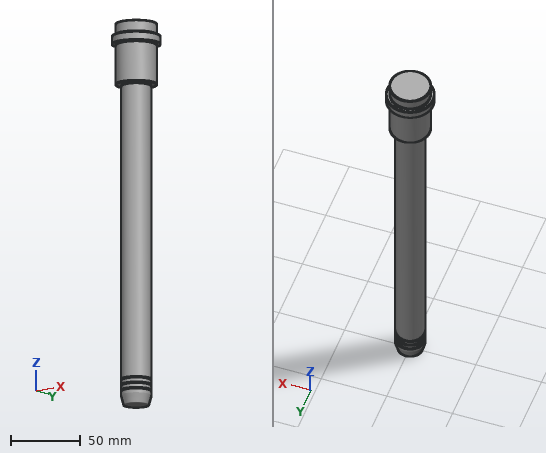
import cadquery as cq
import math

total_length = 280.0

edge_break = 0.5

groove_count = 3
groove_depth = 0.5
groove_width = 2 * groove_depth
groove_root_diameter = 21.0
grooved_end_length = 19.0

shaft_diameter = groove_root_diameter + 2 * groove_depth
flange_diameter = 35.0
flange_overhang = 2.5
sleeve_diameter = flange_diameter - 2 * flange_overhang

sleeve_length = 44.8
flange_setback = 9.0
flange_thickness = 6.0
sleeve_bottom = total_length - sleeve_length
flange_top = total_length - flange_setback
flange_bottom = flange_top - flange_thickness

relief_width = 1.0
relief_depth = 0.3

tip_length = 7.0
tip_angle = 15.0
tip_rim_radius = 0.5

land_width = (grooved_end_length - tip_length - groove_count * groove_width) / groove_count
groove_pitch = land_width + groove_width
first_groove_bottom = tip_length + land_width


def cylinder(diameter, bottom, height):
    """Solid cylinder on the Z axis, starting at the given height."""
    return cq.Workplane("XY").workplane(offset=bottom).circle(diameter / 2).extrude(height)


def revolved(points):
    """Solid made by turning a closed (radius, height) outline around the Z axis."""
    return cq.Workplane("XZ").polyline(points).close().revolve(360, (0, 0, 0), (0, 1, 0))


def v_groove(bottom):
    """Triangular ring that cuts one groove into the shaft."""
    surface = shaft_diameter / 2
    middle = bottom + groove_width / 2
    reach = groove_width
    return revolved(
        [
            (surface - groove_depth, middle),
            (surface - groove_depth + reach, middle + reach),
            (surface - groove_depth + reach, middle - reach),
        ]
    )


def relief(diameter, bottom):
    """Square-sided ring that cuts a shallow relief into a cylinder."""
    outer = cylinder(diameter + 2 * relief_depth, bottom, relief_width)
    core = cylinder(diameter - 2 * relief_depth, bottom, relief_width)
    return outer.cut(core)


def make_tip():
    """Cone that narrows towards the lower end, with a rounded rim."""
    top_radius = shaft_diameter / 2
    end_radius = top_radius - tip_length * math.tan(math.radians(tip_angle))
    cone = revolved([(0, 0), (end_radius, 0), (top_radius, tip_length), (0, tip_length)])
    return cone.faces("<Z").edges().fillet(tip_rim_radius)


def make_shaft():
    """Long shaft with V grooves near the tip and a relief under the sleeve."""
    shaft = cylinder(shaft_diameter, tip_length, total_length - tip_length)
    for index in range(groove_count):
        shaft = shaft.cut(v_groove(first_groove_bottom + index * groove_pitch))
    return shaft.cut(relief(shaft_diameter, sleeve_bottom - relief_width))


def make_sleeve():
    """Sleeve with broken end edges and a relief on both sides of the flange."""
    sleeve = cylinder(sleeve_diameter, sleeve_bottom, sleeve_length)
    sleeve = sleeve.faces("<Z or >Z").edges().chamfer(edge_break)
    for bottom in (flange_top, flange_bottom - relief_width):
        sleeve = sleeve.cut(relief(sleeve_diameter, bottom))
    return sleeve


def make_flange():
    """Flange disc with its upper edge broken."""
    flange = cylinder(flange_diameter, flange_bottom, flange_thickness)
    return flange.faces(">Z").edges().chamfer(edge_break)


result = make_shaft().union(make_tip()).union(make_sleeve()).union(make_flange())